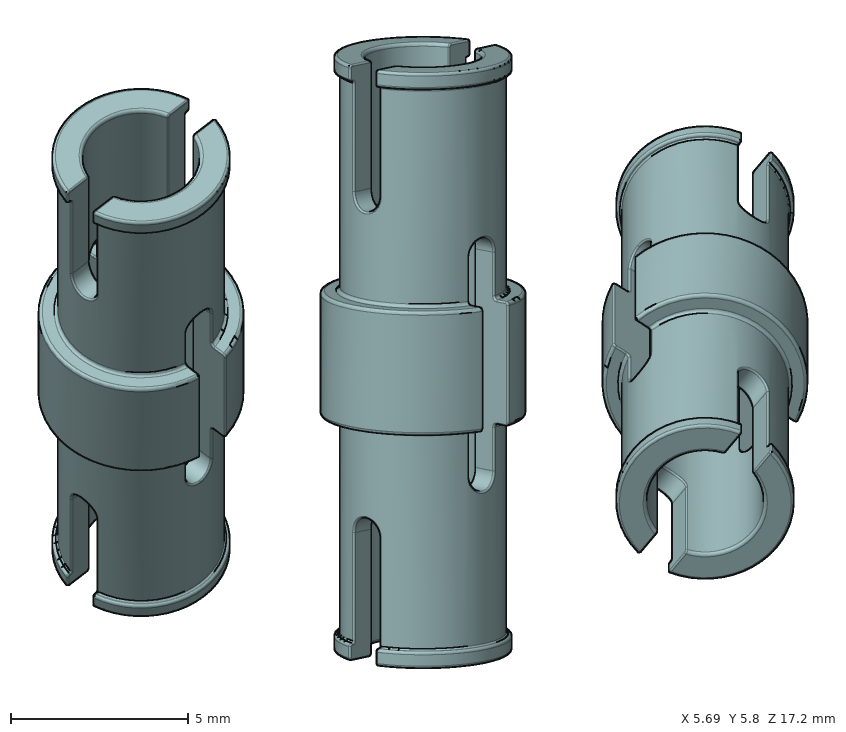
import cadquery as cq

length = 17.2
body_radius = 2.35
bore_radius = 1.65
bore_edge_round = 0.1

collar_radius = 2.898
collar_height = 3.6
collar_edge_round = 0.1
collar_root_round = 0.1

rim_radius = 2.51
rim_height = 0.5
rim_edge_round = 0.09
rim_root_round = 0.05

slot_width = 1.0
end_slot_depth = 4.18
middle_slot_length = 7.31
slot_edge_round = 0.05


def make_half_sleeve():
    """Revolve the upper half of the sleeve wall, from the mid plane to the end face."""
    top = length / 2
    rim_bottom = top - rim_height
    collar_top = collar_height / 2
    return (
        cq.Workplane("XZ")
        .moveTo(bore_radius, 0)
        .lineTo(collar_radius, 0)
        .lineTo(collar_radius, collar_top - collar_edge_round)
        .radiusArc((collar_radius - collar_edge_round, collar_top), -collar_edge_round)
        .lineTo(body_radius + collar_root_round, collar_top)
        .radiusArc((body_radius, collar_top + collar_root_round), collar_root_round)
        .lineTo(body_radius, rim_bottom - rim_root_round)
        .radiusArc((body_radius + rim_root_round, rim_bottom), rim_root_round)
        .lineTo(rim_radius - rim_edge_round, rim_bottom)
        .radiusArc((rim_radius, rim_bottom + rim_edge_round), -rim_edge_round)
        .lineTo(rim_radius, top - rim_edge_round)
        .radiusArc((rim_radius - rim_edge_round, top), -rim_edge_round)
        .lineTo(bore_radius + bore_edge_round, top)
        .radiusArc((bore_radius, top - bore_edge_round), -bore_edge_round)
        .close()
        .revolve(360, (0, 0, 0), (0, 1, 0))
    )


def make_slot_cutter(plane, slot_length, centre_height):
    """Round-ended slot running along Z, cut right across the sleeve normal to the plane."""
    return (
        cq.Workplane(plane)
        .center(0, centre_height)
        .slot2D(slot_length, slot_width, 90)
        .extrude(collar_radius + slot_width, both=True)
    )


def round_slot_mouths(solid, axis, bottom, top):
    """Round the outer edges of the slot that leaves the wall along +axis and -axis."""
    margin = 0.02
    half_width = slot_width / 2 + margin
    inner = bore_radius + margin
    outer = collar_radius + margin
    rounded = solid
    for start, end in ((inner, outer), (-outer, -inner)):
        if axis == "Y":
            low_corner = (-half_width, start, bottom - margin)
            high_corner = (half_width, end, top + margin)
        else:
            low_corner = (start, -half_width, bottom - margin)
            high_corner = (end, half_width, top + margin)
        mouth = cq.selectors.BoxSelector(low_corner, high_corner)
        rounded = rounded.edges(mouth).fillet(slot_edge_round)
    return rounded


upper_half = make_half_sleeve()
result = upper_half.union(upper_half.mirror("XY"))

half_length = length / 2
for end_height in (half_length, -half_length):
    result = result.cut(make_slot_cutter("XZ", 2 * end_slot_depth, end_height))
result = result.cut(make_slot_cutter("YZ", middle_slot_length, 0))

end_slot_floor = half_length - end_slot_depth
result = round_slot_mouths(result, "Y", end_slot_floor, half_length)
result = round_slot_mouths(result, "Y", -half_length, -end_slot_floor)
result = round_slot_mouths(result, "X", -middle_slot_length / 2, middle_slot_length / 2)